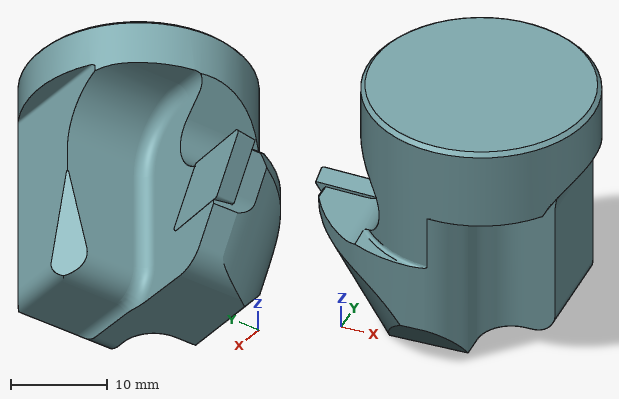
import cadquery as cq
import math


head_radius = 12.5
total_height = 27.9
top_chamfer = 0.45
reach = 40.0
below = -1.0

tooth_radius = 15.0
tooth_center_x = -3.0
tooth_center_y = tooth_radius - head_radius
shelf_height = 12.3
neck_fillet = 0.4

flank_angle = 58.0
flank_point = (-13.6, 5.84)
clearance_radius = 14.0
clearance_depth = 13.7
flank_bottom_radius = 4.1
recess_depth = 0.55
recess_radius = 3.0
tip_chamfer_run = 6.74
tip_chamfer_angle = 50.0
recess_run = math.sqrt(recess_depth * (2 * recess_radius - recess_depth))

bevel_inner_y = -8.6
bevel_height = 4.55

insert_edge = 7.75
insert_angle = 55.0
insert_thickness = 2.38
insert_relief = 7.0
insert_corner_radius = 0.4
insert_tip = (-18.22, 12.91)
edge_fall = flank_angle - insert_angle

scoop_radius = 4.05
scoop_center_x = -11.83
scoop_center_z = 16.0
scoop_rise = 45.0
scoop_fall = edge_fall
scoop_skew = 2.0

rake_skew = 0.83
rake_y = 0.34
pocket_floor_x = -1.8
pocket_bottom = 0.68
pocket_top = 22.5
flute_radius = 7.5
pocket_heel_radius = 3.0
pocket_fillet = 1.55

front_pocket_top = 18.8
nose_radius = 3.95
nose_center_x = -2.05
nose_center_y = bevel_inner_y
front_wall_y = -2.2
front_corner_radius = 3.8

side_x = 9.05
side_arc_z = 15.45
side_bottom_radius = 2.4
back_y = 10.45
back_top = 22.9
back_top_radius = 0.3
back_bottom_radius = 1.7
heel_chamfer_z = 12.3
heel_chamfer_width = 14.0
heel_chamfer_run = 20.0
heel_chamfer_normal = (-1.0, 1.0, -0.276)


def direction(angle):
    """Unit vector at an angle in degrees."""
    return math.cos(math.radians(angle)), math.sin(math.radians(angle))


def polar(center, radius, angle):
    """Point on a circle at an angle in degrees."""
    across, up = direction(angle)
    return center[0] + radius * across, center[1] + radius * up


def skew_with_rake(shape):
    """Turn a shape about the vertical line where the rake face meets the pocket floor."""
    return shape.rotate((pocket_floor_x, rake_y, 0), (pocket_floor_x, rake_y, 1), rake_skew)


def through_y(outline):
    """Extrude an XZ outline along Y through the whole part."""
    return outline.close().extrude(reach, both=True)


def head_blank():
    return (
        cq.Workplane("XY").circle(head_radius).extrude(total_height)
        .faces(">Z").chamfer(top_chamfer)
    )


def tooth_plan(bottom, height):
    """Prism over the plan of the tooth: a large arc that runs out into a front flat."""
    center = (tooth_center_x, tooth_center_y)
    return (
        cq.Workplane("XY").workplane(offset=bottom)
        .moveTo(*polar(center, tooth_radius, 180))
        .threePointArc(polar(center, tooth_radius, 225), polar(center, tooth_radius, 270))
        .lineTo(nose_center_x + nose_radius, -head_radius)
        .lineTo(nose_center_x + nose_radius, tooth_center_y)
        .close().extrude(height)
    )


def neck_ring():
    """Concave fillet between the tooth shelf and the neck, kept inside the tooth plan."""
    center = (head_radius + neck_fillet, shelf_height + neck_fillet)
    ring = (
        cq.Workplane("XZ")
        .moveTo(head_radius - neck_fillet, shelf_height)
        .lineTo(center[0], shelf_height)
        .threePointArc(polar(center, neck_fillet, 225), (head_radius, center[1]))
        .lineTo(head_radius - neck_fillet, center[1])
        .close().revolve(360, (0, 0, 0), (0, 1, 0))
    )
    return ring.intersect(tooth_plan(shelf_height, neck_fillet))


def flank_plane():
    """Plane across the flank: local X runs into the tooth, local Y runs toward -Y."""
    across, up = direction(flank_angle)
    return cq.Plane((flank_point[0], 0, flank_point[1]), (up, 0, across), (across, 0, -up))


def flank_cutter():
    """Removes what lies outside the flat flank and the clearance arc that follows it."""
    flat_end = math.sqrt(clearance_radius**2 - clearance_depth**2)
    center = (clearance_depth, 0)
    return (
        cq.Workplane(flank_plane())
        .moveTo(0, -reach)
        .lineTo(0, flat_end)
        .threePointArc(polar(center, clearance_radius, 135), polar(center, clearance_radius, 90))
        .lineTo(clearance_depth, reach)
        .lineTo(-reach, reach)
        .lineTo(-reach, -reach)
        .close().extrude(reach, both=True)
    )


def flank_at(height):
    """X of the flat flank at a height."""
    return flank_point[0] - (height - flank_point[1]) / math.tan(math.radians(flank_angle))


def flank_bottom_cutter():
    """Rounds the corner between the flat flank and the bottom."""
    tangent = flank_bottom_radius * math.tan(math.radians(flank_angle / 2))
    across, up = direction(flank_angle)
    corner_x = flank_at(0)
    center = (corner_x + tangent, flank_bottom_radius)
    return through_y(
        cq.Workplane("XZ")
        .moveTo(corner_x - tangent * across, tangent * up)
        .threePointArc(polar(center, flank_bottom_radius, 270 - flank_angle / 2), (center[0], 0))
        .lineTo(center[0], below)
        .lineTo(corner_x - tangent, below)
    )


def flank_recess_cutter():
    """Step behind the insert, parallel to the flank, with a rounded lower end."""
    across, up = direction(flank_angle)

    def from_end(run, depth):
        """XZ point at a run up the flank from the recess end and a depth into the tooth."""
        return (
            flank_point[0] - run * across + depth * up,
            flank_point[1] + run * up + depth * across,
        )

    outside = -recess_radius
    far_run = reach / 4
    tip = from_end(tip_chamfer_run, recess_depth)
    center = from_end(recess_run, recess_depth - recess_radius)
    middle_angle = math.degrees(math.asin(recess_run / recess_radius)) / 2
    inward_angle = 90 - flank_angle
    return through_y(
        cq.Workplane("XZ")
        .moveTo(*flank_point)
        .threePointArc(
            polar(center, recess_radius, inward_angle - middle_angle),
            from_end(recess_run, recess_depth),
        )
        .lineTo(*tip)
        .lineTo(*polar(tip, recess_radius, tip_chamfer_angle))
        .lineTo(*from_end(far_run, outside))
        .lineTo(*from_end(0, outside))
    )


def bevel_cutter():
    """Flat bevel across the front of the bottom."""
    return (
        cq.Workplane("YZ")
        .polyline([(bevel_inner_y, 0), (-head_radius, bevel_height),
                   (2 * -head_radius - bevel_inner_y, 2 * bevel_height),
                   (2 * -head_radius, below), (bevel_inner_y, below)])
        .close().extrude(reach, both=True)
    )


def scoop_cutter():
    """Chip scoop: falling platform, round gullet and rising back, skewed about Z."""
    center = (scoop_center_x, scoop_center_z)
    low = polar(center, scoop_radius, 270 - scoop_fall)
    high = polar(center, scoop_radius, scoop_rise)
    run = reach / 2
    fall_across, fall_up = direction(scoop_fall)
    rise_across, rise_up = direction(scoop_rise)
    rise_end = (high[0] - run * rise_across, high[1] + run * rise_up)
    cutter = through_y(
        cq.Workplane("XZ")
        .moveTo(low[0] - run * fall_across, low[1] + run * fall_up)
        .lineTo(*low)
        .threePointArc((scoop_center_x + scoop_radius, scoop_center_z), high)
        .lineTo(*rise_end)
    )
    pivot = (scoop_center_x, 0, 0)
    return cutter.rotate(pivot, (scoop_center_x, 0, 1), scoop_skew)


def rake_pocket_cutter():
    """Deep pocket in front of the rake face, with every corner along its wall rounded."""
    floor = pocket_floor_x
    top_center = (floor - flute_radius, pocket_top - flute_radius)
    heel_center = (floor + pocket_heel_radius, pocket_bottom + pocket_heel_radius)
    cutter = (
        cq.Workplane("XZ", origin=(0, rake_y, 0))
        .moveTo(-reach, pocket_top)
        .lineTo(top_center[0], pocket_top)
        .threePointArc(polar(top_center, flute_radius, 45), (floor, top_center[1]))
        .lineTo(floor, heel_center[1])
        .threePointArc(polar(heel_center, pocket_heel_radius, 225), (heel_center[0], pocket_bottom))
        .lineTo(reach, pocket_bottom)
        .lineTo(reach, -reach)
        .lineTo(-reach, -reach)
        .close().extrude(-reach)
        .faces("<Y").edges().fillet(pocket_fillet)
    )
    return skew_with_rake(cutter)


def front_pocket_cutter():
    """Pocket on the front: a round nose runs into a round inner corner and a flat wall."""
    nose = (nose_center_x, nose_center_y)
    side = nose_center_x + nose_radius
    corner = (side + front_corner_radius, front_wall_y - front_corner_radius)
    start_angle = -math.degrees(math.asin((nose_center_y + head_radius) / nose_radius))
    start = polar(nose, nose_radius, start_angle)
    return (
        cq.Workplane("XY")
        .moveTo(*start)
        .threePointArc(polar(nose, nose_radius, start_angle / 2), (side, nose_center_y))
        .lineTo(side, corner[1])
        .threePointArc(polar(corner, front_corner_radius, 135), (corner[0], front_wall_y))
        .lineTo(reach, front_wall_y)
        .lineTo(reach, -reach)
        .lineTo(start[0], -reach)
        .close().extrude(front_pocket_top)
    )


def side_cutter():
    """Flat on the +X side with a large arc above it and a rounded bottom corner."""
    arc_center = (side_x + flute_radius, side_arc_z)
    foot_center = (side_x - side_bottom_radius, side_bottom_radius)
    return through_y(
        cq.Workplane("XZ")
        .moveTo(arc_center[0], side_arc_z + flute_radius)
        .threePointArc(polar(arc_center, flute_radius, 135), (side_x, side_arc_z))
        .lineTo(side_x, side_bottom_radius)
        .threePointArc(polar(foot_center, side_bottom_radius, -45), (foot_center[0], 0))
        .lineTo(foot_center[0], below)
        .lineTo(arc_center[0], below)
    )


def back_cutter():
    """Flat across the back with a small top fillet and a rounded bottom corner."""
    top_center = (back_y + back_top_radius, back_top - back_top_radius)
    foot_center = (back_y - back_bottom_radius, pocket_bottom + back_bottom_radius)
    return (
        cq.Workplane("YZ")
        .moveTo(reach, back_top)
        .lineTo(top_center[0], back_top)
        .threePointArc(polar(top_center, back_top_radius, 135), (back_y, top_center[1]))
        .lineTo(back_y, foot_center[1])
        .threePointArc(polar(foot_center, back_bottom_radius, -45), (foot_center[0], pocket_bottom))
        .lineTo(foot_center[0], below)
        .lineTo(reach, below)
        .close().extrude(reach, both=True)
    )


def heel_chamfer_cutter():
    """Slanted flat on the corner between the pocket floor and the back."""
    plane = cq.Plane((pocket_floor_x, back_y, heel_chamfer_z), (1, 1, 0), heel_chamfer_normal)
    return (
        cq.Workplane(plane)
        .center(0, heel_chamfer_run / 2)
        .rect(heel_chamfer_width, heel_chamfer_run)
        .extrude(heel_chamfer_width)
    )


def make_insert():
    """Rhombic insert with rounded corners; its flanks taper away from the rake face."""
    tip_x, tip_z = insert_tip
    top_across, top_up = direction(-edge_fall)
    low_across, low_up = direction(-flank_angle)
    top_end = (tip_x + insert_edge * top_across, tip_z + insert_edge * top_up)
    low_step = (insert_edge * low_across, insert_edge * low_up)
    outline = (
        cq.Sketch()
        .polygon([
            insert_tip,
            top_end,
            (top_end[0] + low_step[0], top_end[1] + low_step[1]),
            (tip_x + low_step[0], tip_z + low_step[1]),
            insert_tip,
        ])
        .vertices().fillet(insert_corner_radius)
    )
    insert = (
        cq.Workplane("XZ", origin=(0, rake_y, 0))
        .placeSketch(outline)
        .extrude(insert_thickness, taper=insert_relief)
    )
    return skew_with_rake(insert)


head = head_blank()
head = head.union(tooth_plan(0, shelf_height))
head = head.union(neck_ring())
for cutter in (
    flank_cutter(),
    flank_bottom_cutter(),
    flank_recess_cutter(),
    bevel_cutter(),
    scoop_cutter(),
    rake_pocket_cutter(),
    front_pocket_cutter(),
    side_cutter(),
    back_cutter(),
    heel_chamfer_cutter(),
):
    head = head.cut(cutter)

insert = make_insert()
head = head.cut(insert)

result = cq.Compound.makeCompound([head.val(), insert.val()])